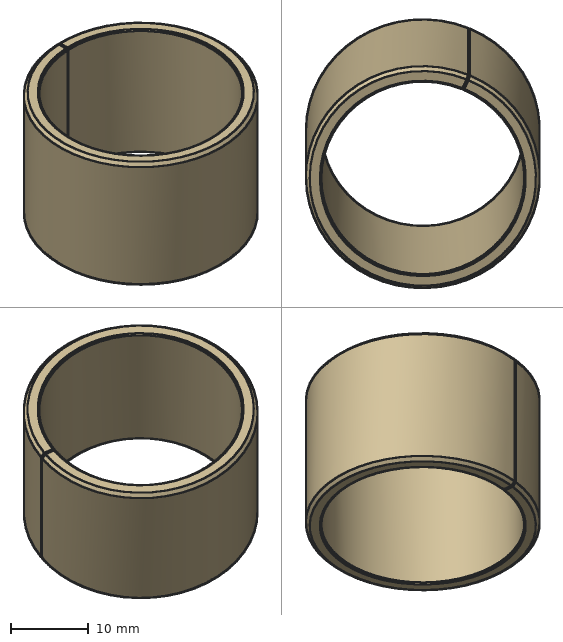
import cadquery as cq

outer_diameter = 30.0
inner_diameter = 26.0
length = 20.0
outer_chamfer = 0.5
inner_chamfer = 0.2
slit_angle = 1.0
start_angle = 180.0

outer_radius = outer_diameter / 2
inner_radius = inner_diameter / 2
half_length = length / 2
sweep_angle = 360 - slit_angle


def split_ring():
    """Sweep the wall section, chamfered at all four corners, about Z, leaving the slit open at +X."""
    section = [
        (inner_radius + inner_chamfer, -half_length),
        (outer_radius - outer_chamfer, -half_length),
        (outer_radius, -half_length + outer_chamfer),
        (outer_radius, half_length - outer_chamfer),
        (outer_radius - outer_chamfer, half_length),
        (inner_radius + inner_chamfer, half_length),
        (inner_radius, half_length - inner_chamfer),
        (inner_radius, -half_length + inner_chamfer),
    ]
    return cq.Workplane("XZ").polyline(section).close().revolve(sweep_angle, (0, 0, 0), (0, 1, 0))


result = split_ring().rotate((0, 0, 0), (0, 0, 1), start_angle)